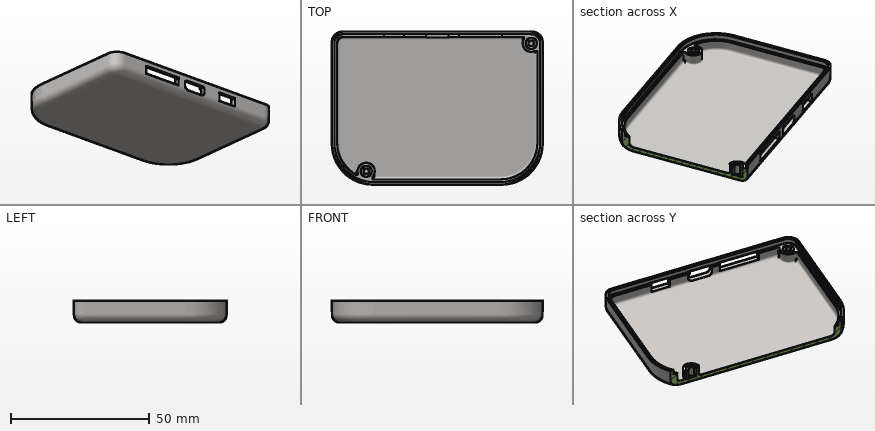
import cadquery as cq
length = 76.3
width = 55.4
height = 8.0
wall = 2.0
wall_draft = 0.8
floor = wall
bottom_round = 3.0
floor_fillet = bottom_round - wall
front_corner_radius = 15.15
back_corner_radius = 4.15

lip_thickness = 1.0
ledge_height = 6.0

boss_radius = 3.1
boss_fillet = 0.5
insert_diameter = 4.0
insert_bore = 2.0
insert_length = ledge_height - floor
back_boss_inset_x = 4.2
back_boss_inset_y = 4.3
front_boss_inset_x = 12.5
front_boss_inset_y = 4.9
boss_centers = [
    (length / 2 - back_boss_inset_x, width / 2 - back_boss_inset_y),
    (-length / 2 + front_boss_inset_x, -width / 2 + front_boss_inset_y),
]

left_opening_start = -19.3
left_opening_width = 7.35
left_opening_sill = 2.75
right_opening_start = 7.8
right_opening_width = 15.6
right_opening_sill = 3.0
socket_width = 9.5
socket_sill = 2.45
socket_top = 6.25
socket_corner_radius = 1.6


def tray_block(inset, z_bottom, z_top, draft=0.0):
    """Block whose top face is the tray outline moved inward by inset; draft narrows it downward."""
    outline = (
        cq.Sketch()
        .rect(length - 2 * inset, width - 2 * inset)
        .vertices("<Y")
        .fillet(front_corner_radius - inset)
        .reset()
        .vertices(">Y")
        .fillet(back_corner_radius - inset)
    )
    return (
        cq.Workplane("XY")
        .workplane(offset=z_top)
        .placeSketch(outline)
        .extrude(z_bottom - z_top, taper=draft)
    )


def boss_posts(z_bottom, z_top, radius):
    """Upright cylinders on both boss centers."""
    return (
        cq.Workplane("XY")
        .workplane(offset=z_bottom)
        .pushPoints(boss_centers)
        .circle(radius)
        .extrude(z_top - z_bottom)
    )


def boss_foot(center):
    """Concave flare that blends the foot of a boss into the floor."""
    foot_radius = boss_radius + boss_fillet
    return (
        cq.Workplane("XZ")
        .moveTo(0, floor)
        .lineTo(foot_radius, floor)
        .radiusArc((boss_radius, floor + boss_fillet), boss_fillet)
        .lineTo(0, floor + boss_fillet)
        .close()
        .revolve(360, (0, 0, 0), (0, 1, 0))
        .translate((*center, 0))
    )


def make_cavity():
    """Inner space up to the ledge, rounded along the floor and where the bosses leave the walls."""
    cavity = tray_block(wall, floor, ledge_height, wall_draft)
    around_bosses = tray_block(wall, floor, ledge_height).cut(boss_posts(floor, ledge_height, boss_radius))
    for x, y in boss_centers:
        beside_boss = cq.selectors.BoxSelector(
            (x - boss_radius, y - boss_radius, floor), (x + boss_radius, y + boss_radius, ledge_height)
        )
        around_bosses = around_bosses.edges("|Z").edges(beside_boss).fillet(boss_fillet)
    cavity = cavity.faces("<Z").edges().fillet(floor_fillet).intersect(around_bosses)
    for center in boss_centers:
        cavity = cavity.cut(boss_foot(center))
    return cavity


def back_wall_cutter(start, opening_width, sill, top):
    """Box through the back wall, starting at x = start."""
    return (
        cq.Workplane("XY")
        .box(opening_width, 4 * wall, top - sill, centered=(False, True, False))
        .translate((start, width / 2, sill))
    )


def socket_cutter():
    """Opening at mid-length with rounded corners; the ledge cuts off its upper rounding."""
    cutter = back_wall_cutter(-socket_width / 2, socket_width, socket_sill, socket_top)
    cutter = cutter.edges("|Y").fillet(socket_corner_radius)
    below_ledge = back_wall_cutter(-socket_width / 2, socket_width, socket_sill, ledge_height)
    return cutter.intersect(below_ledge)


def make_tray():
    tray = tray_block(0, 0, height, wall_draft).faces("<Z").edges().fillet(bottom_round)
    tray = tray.cut(make_cavity())
    tray = tray.cut(tray_block(lip_thickness, ledge_height, height))
    tray = tray.cut(back_wall_cutter(left_opening_start, left_opening_width, left_opening_sill, ledge_height))
    tray = tray.cut(back_wall_cutter(right_opening_start, right_opening_width, right_opening_sill, ledge_height))
    tray = tray.cut(socket_cutter())
    return tray.cut(boss_posts(floor, ledge_height, insert_diameter / 2))


def make_insert(center):
    """Sleeve seated in a boss, flush with the ledge."""
    return (
        cq.Workplane("XY")
        .workplane(offset=floor)
        .center(*center)
        .circle(insert_diameter / 2)
        .circle(insert_bore / 2)
        .extrude(insert_length)
    )


tray = make_tray()
inserts = [make_insert(center) for center in boss_centers]

result = cq.Compound.makeCompound([tray.val(), *[insert.val() for insert in inserts]])